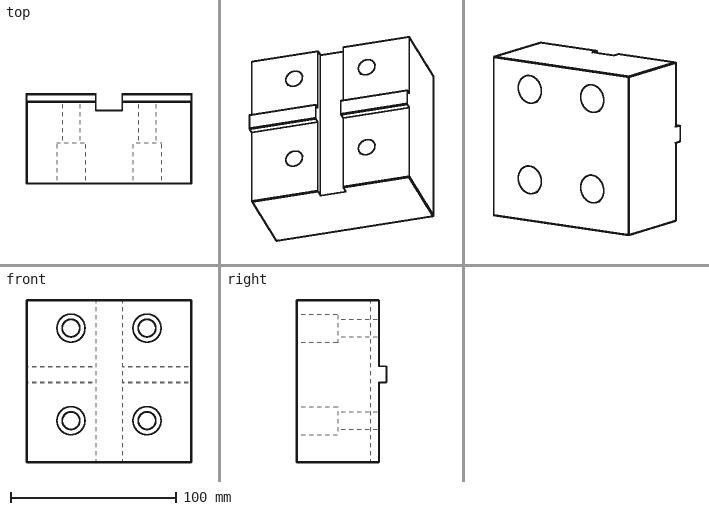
import cadquery as cq

width = 100.0
height = 98.5
overall_depth = 54.5

key_projection = 4.5
key_height = 10.0
key_below_top = 45.0

slot_width = 16.0
slot_depth = 10.0

hole_spacing_x = 46.0
hole_spacing_z = 56.0
hole_diameter = 10.5
counterbore_diameter = 17.0

edge_chamfer = 0.5

body_depth = overall_depth - key_projection
body_centre_z = key_below_top - height / 2
counterbore_depth = body_depth / 2


def make_body():
    """Block with every edge chamfered except the two upright edges at the back."""
    block = cq.Workplane("XY").box(width, body_depth, height)
    block = block.translate((0, body_depth / 2, body_centre_z))
    front_edges = block.faces("<Y").edges()
    top_and_bottom_edges = block.faces("<Z or >Z").edges()
    return front_edges.add(top_and_bottom_edges).chamfer(edge_chamfer)


def make_key():
    """Full-width bar on the back face, chamfered along its two long tip edges."""
    bar = cq.Workplane("XY").box(width, key_projection, key_height)
    bar = bar.translate((0, body_depth + key_projection / 2, 0))
    return bar.faces(">Y").edges("|X").chamfer(edge_chamfer)


def make_slot():
    """Cutter for the slot that runs the full height of the back face."""
    cutter = cq.Workplane("XY").box(slot_width, slot_depth, height)
    return cutter.translate((0, overall_depth - slot_depth / 2, body_centre_z))


def make_bores(diameter, depth):
    """Cutters for the four bores, running from the front face into the body."""
    centres = cq.Workplane("XZ").rarray(hole_spacing_x, hole_spacing_z, 2, 2)
    return centres.circle(diameter / 2).extrude(-depth)


result = (
    make_body()
    .union(make_key())
    .cut(make_slot())
    .cut(make_bores(hole_diameter, body_depth))
    .cut(make_bores(counterbore_diameter, counterbore_depth))
)